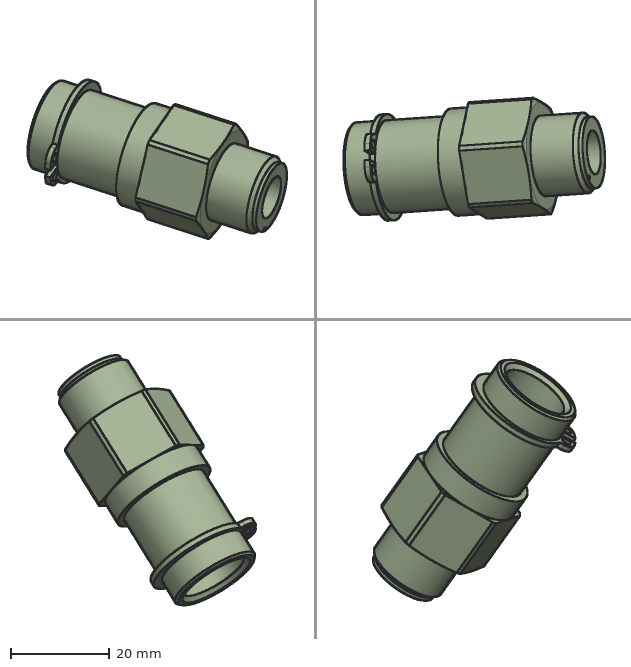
import cadquery as cq
import math

total_length = 51.0
pip_height = 0.15
body_end = total_length - pip_height
ring_start = 5.75
ring_thickness = 1.2
collar_start = 20.95
hex_start = 26.0
hex_end = 40.0
nose_start = 50.0

sleeve_diameter = 19.0
sleeve_chamfer = 0.5
collar_diameter = 22.0
hex_across_flats = collar_diameter
hex_across_corners = 24.8
hex_chamfer_length = 0.4
spigot_diameter = 16.5
nose_diameter = 14.7
spigot_chamfer = (spigot_diameter - nose_diameter) / 2

mouth_diameter = 16.05
socket_diameter = 14.1
socket_depth = 8.85
seat_diameter = 12.5
seat_depth = socket_depth + (socket_diameter - seat_diameter) / 2
throat_diameter = 9.0
seat_cone_length = 0.75
throat_start = seat_depth + seat_cone_length
mouth_depth = (mouth_diameter - socket_diameter) / 2

ring_diameter = 21.8
ring_offset = 0.6
groove_diameter = 18.0
ring_tilt = 0.9
ring_gap = 2.05
lug_hole_diameter = 2.0
lug_hole_reach = 10.7
lug_hole_height = 2.65
lug_root_reach = 8.15
lug_top = 4.95
lug_arc_start = 10.2
lug_arc_middle = (-11.9, 4.1)
lug_tip_radius = 12.85
lug_tip_height = 2.45

pip_diameter = 0.7
pip_radius = 6.85
pip_angle = 240.0


def revolve_profile(points):
    """Revolve a closed (x, radius) outline about the X axis."""
    return cq.Workplane("XY").polyline(points).close().revolve(360, (0, 0, 0), (1, 0, 0))


def section(x):
    """Workplane across the axis at x, with local axes along Y and Z."""
    return cq.Workplane("YZ", origin=(x, 0, 0))


def make_body():
    sleeve_radius = sleeve_diameter / 2
    collar_radius = collar_diameter / 2
    spigot_radius = spigot_diameter / 2
    nose_radius = nose_diameter / 2
    return revolve_profile([
        (0, 0),
        (0, sleeve_radius - sleeve_chamfer),
        (sleeve_chamfer, sleeve_radius),
        (collar_start, sleeve_radius),
        (collar_start, collar_radius),
        (hex_start, collar_radius),
        (hex_start, spigot_radius),
        (nose_start - spigot_chamfer, spigot_radius),
        (nose_start, nose_radius),
        (body_end, nose_radius),
        (body_end, 0),
    ])


def make_hexagon():
    """Hexagon with corners on +/-Y, flattened corners and a turned chamfer on its far end."""
    length = hex_end - hex_start
    sharp_corners = hex_across_flats / math.cos(math.radians(30))
    hexagon = section(hex_start).polygon(6, sharp_corners).extrude(length)
    flattened_size = hex_across_corners / math.cos(math.radians(30))
    corner_cutter = (
        section(hex_start).transformed(rotate=(0, 0, 30)).polygon(6, flattened_size).extrude(length)
    )
    corner_radius = sharp_corners / 2
    chamfer_envelope = revolve_profile([
        (hex_start, 0),
        (hex_start, corner_radius),
        (hex_end - hex_chamfer_length, corner_radius),
        (hex_end, hex_across_flats / 2),
        (hex_end, 0),
    ])
    return hexagon.intersect(corner_cutter).intersect(chamfer_envelope)


def make_lug():
    """Upper lug of the retaining ring."""
    gap_edge = ring_gap / 2
    tip_middle_height = (gap_edge + lug_tip_height) / 2

    def tip_point(height):
        return (-math.sqrt(lug_tip_radius**2 - height**2), height)

    return (
        section(ring_start)
        .moveTo(-lug_root_reach, gap_edge)
        .lineTo(-lug_root_reach, lug_top)
        .lineTo(-lug_arc_start, lug_top)
        .threePointArc(lug_arc_middle, tip_point(lug_tip_height))
        .threePointArc(tip_point(tip_middle_height), tip_point(gap_edge))
        .close()
        .extrude(ring_thickness)
    )


def make_retaining_ring():
    ring = section(ring_start).center(ring_offset, 0).circle(ring_diameter / 2).extrude(ring_thickness)
    gap = section(ring_start).center(-lug_tip_radius / 2, 0).rect(lug_tip_radius, ring_gap)
    lug = make_lug()
    lug_holes = (
        section(ring_start)
        .pushPoints([(-lug_hole_reach, side * lug_hole_height) for side in (-1, 1)])
        .circle(lug_hole_diameter / 2)
        .extrude(ring_thickness)
    )
    ring = ring.union(lug).union(lug.mirror("XY")).cut(gap.extrude(ring_thickness)).cut(lug_holes)
    ring = ring.cut(section(ring_start).circle(groove_diameter / 2).extrude(ring_thickness))
    return ring.rotate((0, 0, 0), (1, 0, 0), ring_tilt)


def make_ring_groove():
    """Annular groove that the retaining ring fills except at its gap."""
    return (
        section(ring_start)
        .circle(sleeve_diameter / 2)
        .circle(groove_diameter / 2)
        .extrude(ring_thickness)
    )


def make_bore():
    return revolve_profile([
        (0, 0),
        (0, mouth_diameter / 2),
        (mouth_depth, socket_diameter / 2),
        (socket_depth, socket_diameter / 2),
        (seat_depth, seat_diameter / 2),
        (throat_start, throat_diameter / 2),
        (body_end, throat_diameter / 2),
        (body_end, 0),
    ])


def make_pip():
    angle = math.radians(pip_angle)
    center = (pip_radius * math.cos(angle), pip_radius * math.sin(angle))
    return section(body_end).center(*center).circle(pip_diameter / 2).extrude(pip_height)


body = make_body().union(make_hexagon()).cut(make_bore()).cut(make_ring_groove())
result = body.union(make_retaining_ring()).union(make_pip())